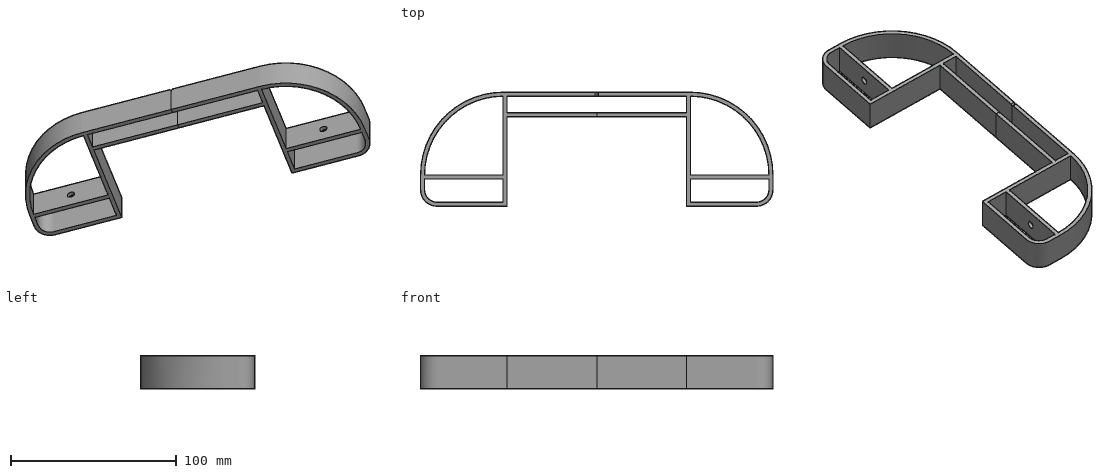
import cadquery as cq

length = 213.0
depth = 69.0
height = 20.0

wall = 2.5
leg_width = 52.5
shoulder_radius = 50.0
corner_radius = 10.0
rail_depth = 15.0
screw_diameter = 4.5
notch_depth = 1.0

half_length = length / 2
leg_inner_x = -half_length + leg_width
leg_pocket_x = leg_inner_x - wall
side_inner_x = -half_length + wall
shelf_rear_y = depth - shoulder_radius
shelf_front_y = shelf_rear_y - wall
rail_front_y = depth - rail_depth
screw_x = (side_inner_x + leg_pocket_x) / 2


def box_between(x_start, x_end, y_start, y_end):
    """Full-height block between two opposite plan corners."""
    return (
        cq.Workplane("XY")
        .moveTo((x_start + x_end) / 2, (y_start + y_end) / 2)
        .rect(x_end - x_start, y_end - y_start)
        .extrude(height)
    )


def rounded_block(x_start, y_start, y_end, rear_radius, front_radius):
    """Block from the outer side to the joint, with both outer side corners rounded."""
    block = box_between(x_start, 0, y_start, y_end)
    block = block.faces("<X").edges(">Y").fillet(rear_radius)
    return block.faces("<X").edges("<Y").fillet(front_radius)


def outer_block():
    """Solid half frame: a leg with a rear bridge that reaches the joint."""
    block = rounded_block(-half_length, 0, depth, shoulder_radius, corner_radius)
    return block.cut(box_between(leg_inner_x, 0, 0, rail_front_y))


def leg_pockets():
    """Two pockets of the leg, with the shelf left between them."""
    cavity = rounded_block(
        side_inner_x, wall, depth - wall, shoulder_radius - wall, corner_radius - wall
    )
    cavity = cavity.cut(box_between(leg_pocket_x, 0, 0, depth))
    return cavity.cut(box_between(-half_length, 0, shelf_front_y, shelf_rear_y))


def rail_gap():
    """Opening between the rear rail and the front rail."""
    return box_between(leg_inner_x, 0, rail_front_y + wall, depth - wall)


def screw_hole():
    """Cylinder through the shelf along Y, at mid height."""
    return (
        cq.Workplane("XZ", origin=(screw_x, shelf_rear_y, height / 2))
        .circle(screw_diameter / 2)
        .extrude(wall)
    )


def center_notch():
    """V-shaped mark across the top of the rear rail, centred on the joint."""
    return (
        cq.Workplane("XZ", origin=(0, depth, height))
        .moveTo(-notch_depth, 0)
        .lineTo(notch_depth, 0)
        .lineTo(0, -notch_depth)
        .close()
        .extrude(wall)
    )


def left_half_frame():
    """One half of the frame, ending at the joint plane."""
    frame = outer_block().cut(leg_pockets()).cut(rail_gap())
    return frame.cut(screw_hole()).cut(center_notch())


def right_half_frame():
    """Mirror image of the left half across the joint plane."""
    return left_half_frame().mirror("YZ")


left_half = left_half_frame()
right_half = right_half_frame()

result = cq.Compound.makeCompound([left_half.val(), right_half.val()])